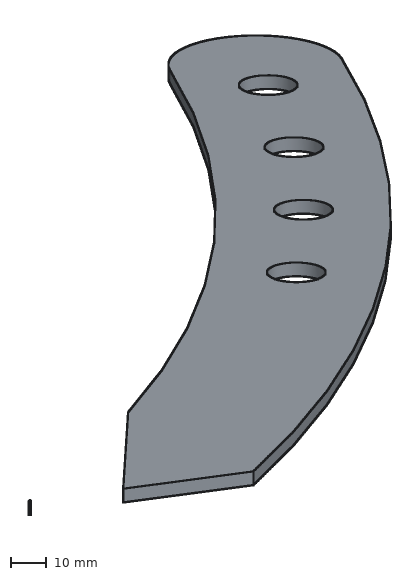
import cadquery as cq
import math

length = 343.5
thickness = 4.0

bend_x = -79.0
bend_y = -401.5
mid_radius = 607.0
strip_width = 49.0
cap_radius = strip_width / 2
outer_radius = mid_radius + cap_radius
inner_radius = mid_radius - cap_radius

slope_start_x = 284.0
tip_y = 28.5

hole_diameter = 16.5
hole_count = 4
first_hole_angle = 78.5
hole_step_angle = 5.0

chip_size = 0.7


def bend_point(radius, angle):
    """Point on a circle about the bend centre, at an angle in degrees from +X."""
    turn = math.radians(angle)
    return (bend_x + radius * math.cos(turn), bend_y + radius * math.sin(turn))


def angle_at_x(radius, x):
    """Angle in degrees at which the upper half of a bend circle reaches x."""
    return math.degrees(math.acos((x - bend_x) / radius))


def bend_middle(radius, start_angle, end_angle):
    """Point halfway along an arc about the bend centre."""
    return bend_point(radius, (start_angle + end_angle) / 2)


def make_blade():
    cap_angle = angle_at_x(mid_radius, cap_radius)
    cap_x, cap_y = bend_point(mid_radius, cap_angle)
    cap_turn = math.radians(cap_angle)
    cap_middle = (cap_x - cap_radius * math.sin(cap_turn), cap_y + cap_radius * math.cos(cap_turn))
    outer_end_angle = angle_at_x(outer_radius, length)
    inner_end_angle = angle_at_x(inner_radius, slope_start_x)

    blade = (
        cq.Workplane("XY")
        .moveTo(*bend_point(outer_radius, cap_angle))
        .threePointArc(
            bend_middle(outer_radius, cap_angle, outer_end_angle),
            bend_point(outer_radius, outer_end_angle),
        )
        .lineTo(length, tip_y)
        .lineTo(*bend_point(inner_radius, inner_end_angle))
        .threePointArc(
            bend_middle(inner_radius, inner_end_angle, cap_angle),
            bend_point(inner_radius, cap_angle),
        )
        .threePointArc(cap_middle, bend_point(outer_radius, cap_angle))
        .close()
        .extrude(thickness)
    )

    hole_centres = [
        bend_point(mid_radius, first_hole_angle - i * hole_step_angle) for i in range(hole_count)
    ]
    holes = cq.Workplane("XY").pushPoints(hole_centres).circle(hole_diameter / 2).extrude(thickness)
    return blade.cut(holes)


def make_chip():
    return (
        cq.Workplane("XY")
        .moveTo(length, 0)
        .lineTo(length, chip_size)
        .lineTo(length - chip_size, chip_size)
        .close()
        .extrude(thickness)
    )


blade = make_blade()
chip = make_chip()

result = cq.Compound.makeCompound([blade.solids().val(), chip.val()])